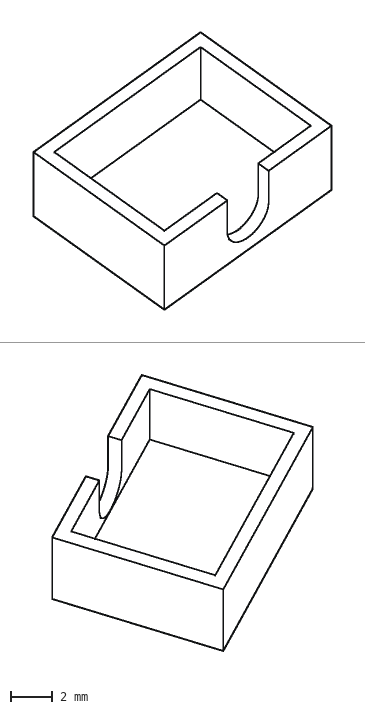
import cadquery as cq

width = 8.85
length = 11.32
height = 4.4

wall = 0.7
floor = 0.8

notch_width = 2.8
notch_radius = notch_width / 2
notch_arc_height = 2.25


def make_tray():
    """Rectangular tray with its base on Z = 0."""
    outer = cq.Workplane("XY").box(width, length, height, centered=(True, True, False))
    cavity = (
        cq.Workplane("XY")
        .workplane(offset=floor)
        .rect(width - 2 * wall, length - 2 * wall)
        .extrude(height - floor)
    )
    return outer.cut(cavity)


def make_notch():
    """U-shaped cutter spanning the thickness of the +X wall."""
    return (
        cq.Workplane("YZ")
        .workplane(offset=width / 2 - wall)
        .moveTo(-notch_radius, height)
        .lineTo(-notch_radius, notch_arc_height)
        .threePointArc((0, notch_arc_height - notch_radius), (notch_radius, notch_arc_height))
        .lineTo(notch_radius, height)
        .close()
        .extrude(wall)
    )


result = make_tray().cut(make_notch())